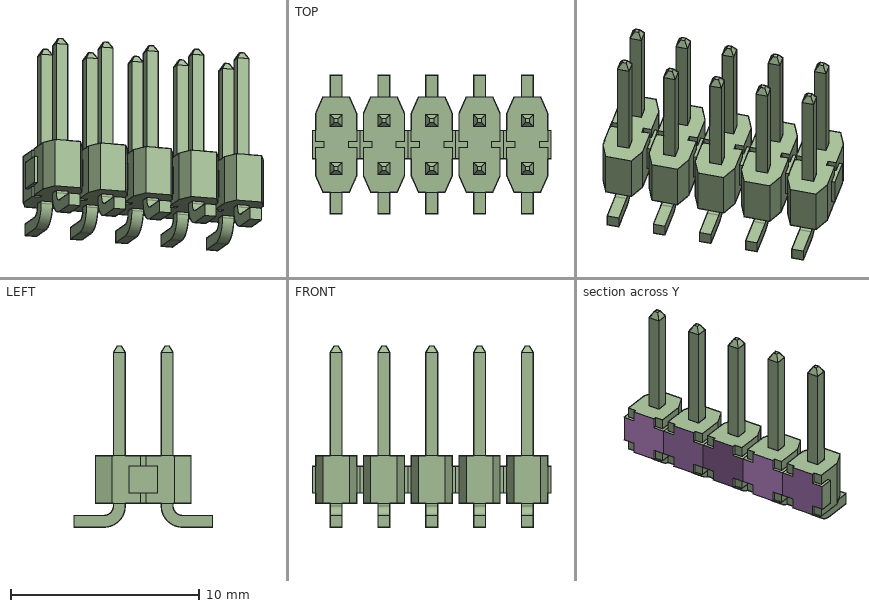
import cadquery as cq

pitch = 2.54
columns = 5
row_offset = pitch / 2
overall_height = 9.65
overall_depth = 7.37

block_width = 2.19
block_depth = 2 * pitch
block_height = pitch
block_bottom = 1.27
end_width = 1.41
side_depth = 3.32

tab_depth = 1.52
tab_height = 1.43

slot_width = 0.3
slot_depth = 0.45

pin_size = 0.64
tip_size = 0.22
tip_height = 0.35
bend_inner_radius = 0.5

block_middle = block_bottom + block_height / 2


def make_block():
    """Octagonal block centred on the Z axis."""
    corner_x = (block_width - end_width) / 2
    corner_y = (block_depth - side_depth) / 2
    right = block_width / 2
    back = block_depth / 2
    outline = [
        (right, -back + corner_y),
        (right, back - corner_y),
        (right - corner_x, back),
        (-right + corner_x, back),
        (-right, back - corner_y),
        (-right, -back + corner_y),
        (-right + corner_x, -back),
        (right - corner_x, -back),
    ]
    block = cq.Workplane("XY").workplane(offset=block_bottom).polyline(outline).close()
    return block.extrude(block_height)


def make_slots():
    """Cutter for the full-height slots in both sides of the block."""
    floor_x = block_width / 2 - slot_depth
    slots = cq.Workplane("XY").workplane(offset=block_bottom)
    slots = slots.pushPoints([(side * (floor_x + slot_depth / 2), 0) for side in (-1, 1)])
    return slots.rect(slot_depth, slot_width).extrude(block_height)


def make_tabs():
    """Bar one pitch long whose ends are the tabs and which fills the slots at tab height."""
    return cq.Workplane("XY").box(pitch, tab_depth, tab_height).translate((0, 0, block_middle))


def make_pin():
    """Front-row pin: pointed post, bend and foot running toward -Y."""
    inner_y = -row_offset + pin_size / 2
    outer_y = -row_offset - pin_size / 2
    foot_end_y = -overall_depth / 2
    bend_outer_radius = bend_inner_radius + pin_size
    bend_y = outer_y - bend_inner_radius
    bend_z = bend_outer_radius
    shoulder_z = overall_height - tip_height

    bent_wire = (
        cq.Workplane("YZ")
        .workplane(offset=-pin_size / 2)
        .moveTo(foot_end_y, 0)
        .lineTo(bend_y, 0)
        .radiusArc((inner_y, bend_z), -bend_outer_radius)
        .lineTo(inner_y, shoulder_z)
        .lineTo(outer_y, shoulder_z)
        .lineTo(outer_y, bend_z)
        .radiusArc((bend_y, pin_size), bend_inner_radius)
        .lineTo(foot_end_y, pin_size)
        .close()
    )
    tip = (
        cq.Workplane("XY", origin=(0, -row_offset, shoulder_z))
        .rect(pin_size, pin_size)
        .workplane(offset=tip_height)
        .rect(tip_size, tip_size)
        .loft(ruled=True)
    )
    return bent_wire.extrude(pin_size).union(tip)


def make_column(x):
    """One header column: block, tabs and its two pins as a single solid."""
    front_pin = make_pin()
    back_pin = front_pin.mirror("XZ")
    column = make_block().cut(make_slots()).union(make_tabs())
    column = column.union(front_pin).union(back_pin)
    return column.translate((x, 0, 0))


header_columns = [make_column((i - (columns - 1) / 2) * pitch) for i in range(columns)]

result = cq.Compound.makeCompound([column.solids().val() for column in header_columns])